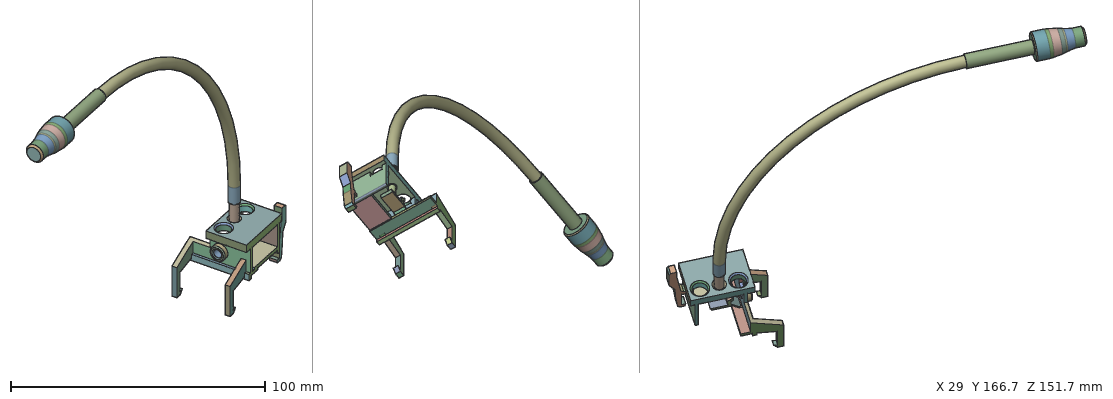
import cadquery as cq


plate_left = -4.8
plate_right = 14.0
plate_rear = 12.8
plate_front = -13.3
plate_thickness = 3.5

outer_hole_radius = 3.2
outer_hole_spacing = 7.8
outer_hole_chamfer = 0.7
countersink_radius = 2.8

rear_wall_outer = 11.2
front_wall_inner = -8.8
wall_thickness = 1.5
rear_wall_inner = rear_wall_outer - wall_thickness
front_wall_outer = front_wall_inner - wall_thickness
rear_wall_bottom = -14.0
rear_wall_round = 0.7
window_width = 5.7
window_depth = 2.5

wing_left = -15.0
wing_top = -5.3
wing_width = plate_right - wing_left
arm_width = 2.3
right_arm_left = 9.7
arm_front = -22.3
arm_elbow_z = -11.7
arm_bottom = -26.0
leg_thickness = 2.5
leg_inner = arm_front + leg_thickness
leg_inner_top = -15.2
beam_underside_start = (-12.3, -13.5)
hook_reach = 1.7
hook_tip_z = -24.0
hook_root_z = -24.3
arm_slope = (arm_elbow_z - wing_top) / (arm_front - front_wall_inner)
wing_front_top = wing_top + arm_slope * (front_wall_outer - front_wall_inner)

floor_rear = -4.8
floor_top = -11.5
floor_bottom = -13.0

foot_rear = -9.7
foot_front = -11.5
foot_top = -11.5
foot_bottom = -14.5

ring_radius = 3.5
ring_hole_radius = 1.8
ring_height = 2.5
ring_z = -6.2
ring_chamfer = 0.5

tongue_width = 5.3
shelf_top = -8.0
shelf_bottom = -9.2
hook_top = -3.7

tie_bar_left = 3.8
tie_bar_top = -10.5
tie_bar_bottom = -12.2
tie_bar_front = -7.5

lever_left = 9.2
lever_width = 3.7
lever_back = 18.0
lever_top = 4.5
lever_bottom = -19.7
lever_neck_top = -9.8
lever_neck_bottom = -11.5
lever_inner = 12.8
lever_hook_top = -18.2

plug_radius = 1.5
plug_bottom = -4.5
stem_radius = 2.0
ferrule_bottom = 11.7
tube_radius = 2.5
bend_radius = 100.0
bend_start = 19.7
sleeve_radius = 3.0
sleeve_length = 27.5
neck_end_z = bend_start + bend_radius
head_rear_y = -(bend_radius + sleeve_length)

head_length = 21.2
head_radius = 6.0
head_rear_chamfer = 0.5
barrel_length = 5.7
taper_points = [(5.8, 7.2), (5.3, 10.7), (4.8, 12.5), (4.7, 13.2)]
nose_radius = 4.0
nose_start = 16.5
nose_chamfer = 0.8


def box(x0, x1, y0, y1, z0, z1):
    """Solid block between two corners."""
    return cq.Workplane("XY").box(x1 - x0, y1 - y0, z1 - z0, centered=False).translate((x0, y0, z0))


def side_profile(points, left, width):
    """Closed (Y, Z) outline extruded along +X from the given left side."""
    return cq.Workplane("YZ", origin=(left, 0, 0)).polyline(points).close().extrude(width)


def chamfered_hole(x, y, radius, mouth_radius):
    """Cutter for a hole through the plate with a 45 degree chamfer at its top mouth."""
    shaft = cq.Workplane("XY", origin=(x, y, 0)).circle(radius).extrude(plate_thickness)
    depth = mouth_radius - radius
    mouth = cq.Solid.makeCone(
        radius, mouth_radius, depth, pnt=cq.Vector(x, y, plate_thickness - depth), dir=cq.Vector(0, 0, 1)
    )
    return shaft.union(cq.Workplane(mouth))


def make_plate():
    """Top plate with two open holes and a countersunk hole for the gooseneck stem."""
    plate = box(plate_left, plate_right, plate_front, plate_rear, 0, plate_thickness)
    for y in (-outer_hole_spacing, outer_hole_spacing):
        plate = plate.cut(chamfered_hole(0, y, outer_hole_radius, outer_hole_radius + outer_hole_chamfer))
    return plate.cut(chamfered_hole(0, 0, stem_radius, countersink_radius))


def make_rear_wall():
    wall = box(plate_left, plate_right, rear_wall_inner, rear_wall_outer, rear_wall_bottom, 0)
    return wall.edges("|X and <Z").fillet(rear_wall_round)


def make_front_wall():
    """Wall under the plate, continued to the left as a lower wing with a sloping top."""
    wall = box(plate_left, plate_right, front_wall_outer, front_wall_inner, floor_bottom, 0)
    wing_outline = [
        (front_wall_inner, wing_top),
        (front_wall_outer, wing_front_top),
        (front_wall_outer, floor_bottom),
        (front_wall_inner, floor_bottom),
    ]
    return wall.union(side_profile(wing_outline, wing_left, wing_width))


def make_floor_strips():
    """Flange reaching back from the foot of the front wall, and the lip in front of it."""
    flange = box(wing_left, plate_right, front_wall_outer, floor_rear, floor_bottom, floor_top)
    lip = box(wing_left, plate_right, foot_front, foot_rear, foot_bottom, foot_top)
    return flange.union(lip)


def make_arm(left):
    """Jaw arm: sloping beam, downward leg and an inward hook at the tip."""
    outline = [
        (front_wall_inner, wing_top),
        (arm_front, arm_elbow_z),
        (arm_front, arm_bottom),
        (leg_inner, arm_bottom),
        (leg_inner + hook_reach, hook_tip_z),
        (leg_inner, hook_root_z),
        (leg_inner, leg_inner_top),
        beam_underside_start,
        (front_wall_inner, floor_bottom),
    ]
    return side_profile(outline, left, arm_width)


def make_ring():
    """Short collar standing on the front wall, chamfered inside and out at its free end."""
    ring = (
        cq.Workplane("XZ", origin=(0, front_wall_outer, ring_z))
        .circle(ring_radius)
        .circle(ring_hole_radius)
        .extrude(ring_height)
    )
    return ring.faces("<Y").edges().chamfer(ring_chamfer)


def make_tongue():
    """Bent spring tongue: slanted root on the flange, flat shelf and an upright hook."""
    outline = [
        (-8.3, floor_top),
        (-4.2, -7.8),
        (-4.2, -6.2),
        (-5.2, -5.3),
        (-5.2, hook_top),
        (-4.7, hook_top),
        (-4.7, -4.3),
        (-2.7, -5.3),
        (-2.7, -7.3),
        (-3.0, shelf_top),
        (4.3, shelf_top),
        (3.7, shelf_bottom),
        (-4.8, shelf_bottom),
        (-7.3, floor_top),
    ]
    return side_profile(outline, -tongue_width / 2, tongue_width)


def make_tie_bar():
    """Flat bar along the right side, joining the rear wall to the flange."""
    return box(tie_bar_left, plate_right, tie_bar_front, rear_wall_inner, tie_bar_bottom, tie_bar_top)


def make_lever():
    """Release lever behind the rear wall, with thumb pad, neck and bottom hook."""
    outline = [
        (rear_wall_outer, lever_neck_top),
        (12.0, -9.7),
        (13.2, -8.8),
        (14.8, 1.7),
        (14.8, lever_top),
        (17.3, lever_top),
        (lever_back, 3.7),
        (lever_back, -3.3),
        (15.5, -7.3),
        (15.3, -11.8),
        (14.5, -18.8),
        (13.5, lever_bottom),
        (11.5, lever_bottom),
        (11.2, lever_hook_top),
        (lever_inner, lever_hook_top),
        (lever_inner, lever_neck_bottom),
        (rear_wall_outer, lever_neck_bottom),
    ]
    return side_profile(outline, lever_left, lever_width)


def make_clamp():
    clamp = make_plate()
    pieces = [
        make_rear_wall(),
        make_front_wall(),
        make_floor_strips(),
        *[make_arm(left) for left in (wing_left, right_arm_left)],
        make_ring(),
        make_tongue(),
        make_tie_bar(),
        make_lever(),
    ]
    for piece in pieces:
        clamp = clamp.union(piece)
    half_window = window_width / 2
    windows = box(-half_window, half_window, front_wall_outer, rear_wall_outer, -window_depth, 0)
    bore = (
        cq.Workplane("XZ", origin=(0, front_wall_inner, ring_z))
        .circle(ring_hole_radius)
        .extrude(wall_thickness)
    )
    return clamp.cut(windows).cut(bore)


def make_gooseneck():
    """Plug and stem through the plate, then the bent tube and the straight sleeve at its end."""
    plug = cq.Workplane("XY", origin=(0, 0, plug_bottom)).circle(plug_radius).extrude(-plug_bottom)
    stem = cq.Workplane("XY").circle(stem_radius).extrude(ferrule_bottom)
    ferrule = (
        cq.Workplane("XY", origin=(0, 0, ferrule_bottom))
        .circle(tube_radius)
        .extrude(bend_start - ferrule_bottom)
    )
    bend = (
        cq.Workplane("XY", origin=(0, 0, bend_start))
        .circle(tube_radius)
        .revolve(90, (0, -bend_radius, 0), (1, -bend_radius, 0))
    )
    sleeve = (
        cq.Workplane("XZ", origin=(0, -bend_radius, neck_end_z))
        .circle(sleeve_radius)
        .extrude(sleeve_length)
    )
    return plug.union(stem).union(ferrule).union(bend).union(sleeve)


def make_head():
    """Microphone head, turned about the neck's end axis: barrel, taper and blunt nose."""
    nose_face_radius = nose_radius - nose_chamfer
    outline = [
        (0, 0),
        (head_radius - head_rear_chamfer, 0),
        (head_radius, head_rear_chamfer),
        (head_radius, barrel_length),
        *taper_points,
        (nose_radius, nose_start),
        (nose_radius, head_length - nose_chamfer),
        (nose_face_radius, head_length),
        (0, head_length),
    ]
    profile = cq.Workplane("XY").polyline(outline).close()
    head = profile.revolve(360, (0, 0, 0), (0, 1, 0))
    return head.rotate((0, 0, 0), (1, 0, 0), 180).translate((0, head_rear_y, neck_end_z))


clamp = make_clamp()
gooseneck = make_gooseneck()
head = make_head()

result = cq.Compound.makeCompound([clamp.val(), gooseneck.val(), head.val()])